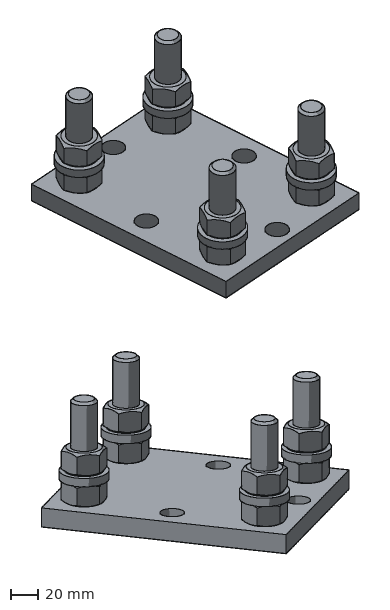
import cadquery as cq
import math

plate_length = 190.0
plate_width = 150.0
plate_thickness = 15.0
overall_height = 95.0

hole_diameter = 18.0
hole_spacing_x = 160.0
hole_spacing_y = 110.0

stud_diameter = 20.0
stud_spacing_x = 140.0
stud_spacing_y = 100.0
stud_tip_chamfer = 2.0

nut_across_flats = 30.0
nut_chamfer_angle = 30.0
lower_nut_face_diameter = 28.1
upper_nut_top_diameter = 27.0
collar_diameter = 29.0
collar_height = 0.66
lower_nut_height = 17.3
washer_diameter = 37.0
washer_thickness = 6.6
upper_nut_height = 18.0

washer_base = plate_thickness + lower_nut_height
upper_nut_base = washer_base + washer_thickness


def make_plate():
    """Rectangular plate resting on Z = 0, with its four through holes."""
    hole_places = [
        (-hole_spacing_x / 2, 0),
        (hole_spacing_x / 2, 0),
        (0, -hole_spacing_y / 2),
        (0, hole_spacing_y / 2),
    ]
    return (
        cq.Workplane("XY")
        .box(plate_length, plate_width, plate_thickness, centered=(True, True, False))
        .faces(">Z")
        .workplane()
        .pushPoints(hole_places)
        .hole(hole_diameter)
    )


def make_nut(base, height, bottom_face_diameter, top_face_diameter):
    """Hexagon with corners on the Y axis, its corners cut by a cone at each end."""
    corner_radius = nut_across_flats / 2 / math.cos(math.pi / 6)
    chamfer_slope = math.tan(math.radians(nut_chamfer_angle))
    bottom_radius = bottom_face_diameter / 2
    top_radius = top_face_diameter / 2
    bottom_drop = (corner_radius - bottom_radius) * chamfer_slope
    top_drop = (corner_radius - top_radius) * chamfer_slope

    hexagon = (
        cq.Workplane("XY")
        .polygon(6, 2 * corner_radius)
        .extrude(height)
        .rotate((0, 0, 0), (0, 0, 1), 90)
    )
    envelope = (
        cq.Workplane("XZ")
        .moveTo(0, 0)
        .lineTo(bottom_radius, 0)
        .lineTo(corner_radius, bottom_drop)
        .lineTo(corner_radius, height - top_drop)
        .lineTo(top_radius, height)
        .lineTo(0, height)
        .close()
        .revolve(360, (0, 0, 0), (0, 1, 0))
    )
    return hexagon.intersect(envelope).translate((0, 0, base))


def make_cylinder(base, diameter, height):
    """Upright cylinder on the Z axis, starting at height base."""
    return cq.Workplane("XY").workplane(offset=base).circle(diameter / 2).extrude(height)


def make_stud_stack():
    """Stud with lower nut, washer and collared upper nut, standing on the plate at the origin."""
    stud_height = overall_height - plate_thickness
    stud = make_cylinder(plate_thickness, stud_diameter, stud_height)
    stud = stud.faces(">Z").chamfer(stud_tip_chamfer)
    lower_nut = make_nut(
        plate_thickness, lower_nut_height, lower_nut_face_diameter, lower_nut_face_diameter
    )
    washer = make_cylinder(washer_base, washer_diameter, washer_thickness)
    collar = make_cylinder(upper_nut_base, collar_diameter, collar_height)
    upper_nut = make_nut(
        upper_nut_base + collar_height,
        upper_nut_height - collar_height,
        collar_diameter,
        upper_nut_top_diameter,
    )
    return stud.union(lower_nut).union(washer).union(collar).union(upper_nut)


result = make_plate()
stud_stack = make_stud_stack()
for side_x in (-1, 1):
    for side_y in (-1, 1):
        stud_place = (side_x * stud_spacing_x / 2, side_y * stud_spacing_y / 2, 0)
        result = result.union(stud_stack.translate(stud_place))